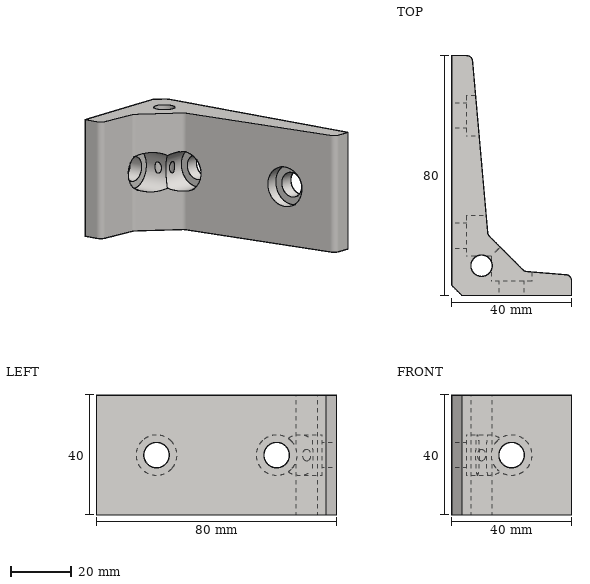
import cadquery as cq

short_leg = 40.0
long_leg = 80.0
height = 40.0

tip_thickness = 6.9
gusset_thickness = 12.2
gusset_reach_long = 20.2
gusset_reach_short = 24.2
gusset_thickness_short = 8.2
corner_radius = 2.0
heel_chamfer = 3.5

bolt_diameter = 8.4
bolt_spacing = 40.0
bolt_count = 2
seat_diameter = 13.5
seat_floor = 5.0
first_bolt = short_leg / 2
corner_hole_diameter = 7.0
corner_hole_offset = 10.0


def upright_edge(corner):
    """Selector for the vertical edge standing on a corner of the profile."""
    x, y = corner
    return cq.selectors.NearestToPointSelector((x, y, height / 2))


def bracket_body():
    """Tapered L profile with a sloped gusset in the inner corner."""
    outline = [
        (0, 0),
        (short_leg, 0),
        (short_leg, tip_thickness),
        (gusset_reach_short, gusset_thickness_short),
        (gusset_thickness, gusset_reach_long),
        (tip_thickness, long_leg),
        (0, long_leg),
    ]
    body = cq.Workplane("XY").polyline(outline).close().extrude(height)
    for corner in outline[2:6]:
        body = body.edges(upright_edge(corner)).fillet(corner_radius)
    return body.edges(upright_edge(outline[0])).chamfer(heel_chamfer)


def long_leg_holes():
    """Two bolt holes along X, each counterbored from the inner side of the long leg."""
    centres = [(first_bolt + i * bolt_spacing, height / 2) for i in range(bolt_count)]
    plane = cq.Workplane("YZ")
    bolts = plane.pushPoints(centres).circle(bolt_diameter / 2).extrude(short_leg)
    seats = (
        plane.workplane(offset=seat_floor)
        .pushPoints(centres)
        .circle(seat_diameter / 2)
        .extrude(short_leg)
    )
    return bolts.union(seats)


def short_leg_hole():
    """One bolt hole along Y, counterbored from the inner side of the short leg."""
    plane = cq.Workplane("XZ").center(first_bolt, height / 2)
    bolt = plane.circle(bolt_diameter / 2).extrude(-short_leg)
    seat = plane.workplane(offset=-seat_floor).circle(seat_diameter / 2).extrude(-short_leg)
    return bolt.union(seat)


def corner_hole():
    """Vertical hole through the solid corner."""
    return (
        cq.Workplane("XY")
        .center(corner_hole_offset, corner_hole_offset)
        .circle(corner_hole_diameter / 2)
        .extrude(height)
    )


result = bracket_body().cut(long_leg_holes()).cut(short_leg_hole()).cut(corner_hole())